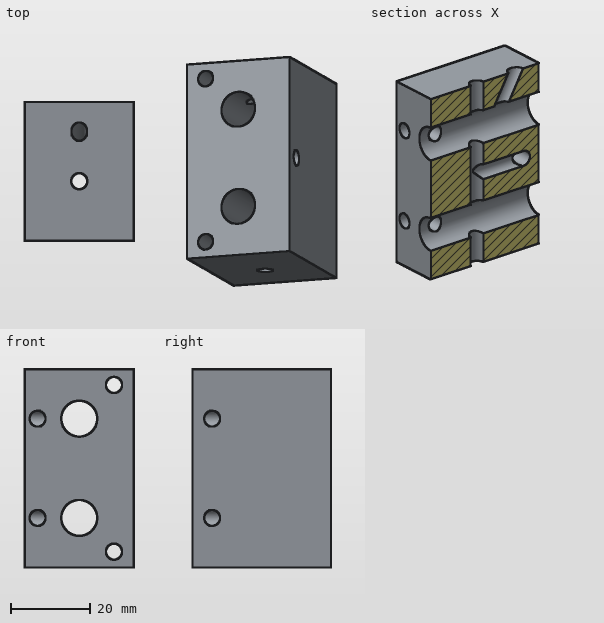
import cadquery as cq
import math

width = 27.5
depth = 35.0
height = 50.0

bore_diameter = 9.0
hole_diameter = 4.0

bore_spacing = 25.0
mount_x = 8.75
mount_spacing = 42.0
vertical_hole_y = -2.5
front_port_x = -10.5
cross_channel_y = -12.5
side_port_y = 12.5
top_port_y = 10.0

top_port_tilt = 30.0
top_port_length = 15.0
outside_run = 2.5


def drill(mouth, direction, diameter, length):
    """Cutter starting just outside its mouth and ending `length` inside it."""
    axis = cq.Vector(*direction).normalized()
    start = cq.Vector(*mouth) - axis * outside_run
    return cq.Workplane(cq.Solid.makeCylinder(diameter / 2, length + outside_run, start, axis))


def elbow(mouth, corner, end):
    """Cutter for a channel of two straight legs with a mitred right-angle corner."""
    path = cq.Workplane(cq.Wire.makePolygon([cq.Vector(*point) for point in (mouth, corner, end)]))
    inward = cq.Vector(*corner) - cq.Vector(*mouth)
    mouth_plane = cq.Plane(origin=mouth, normal=inward.toTuple())
    return cq.Workplane(mouth_plane).circle(hole_diameter / 2).sweep(path, transition="right")


result = cq.Workplane("XY").box(width, depth, height)

through = depth + outside_run
for side in (-1, 1):
    bore_z = side * bore_spacing / 2
    mount_z = side * mount_spacing / 2
    bore_mouth = (0, -depth / 2, bore_z)
    mount_mouth = (mount_x, -depth / 2, mount_z)
    result = result.cut(drill(bore_mouth, (0, 1, 0), bore_diameter, through))
    result = result.cut(drill(mount_mouth, (0, 1, 0), hole_diameter, through))

    port_mouth = (front_port_x, -depth / 2, bore_z)
    port_corner = (front_port_x, cross_channel_y, bore_z)
    port_end = (width / 2, cross_channel_y, bore_z)
    result = result.cut(elbow(port_mouth, port_corner, port_end))

vertical_mouth = (0, vertical_hole_y, height / 2)
result = result.cut(drill(vertical_mouth, (0, 0, -1), hole_diameter, height + outside_run))

side_mouth = (-width / 2, side_port_y, 0)
side_corner = (0, side_port_y, 0)
side_end = (0, vertical_hole_y, 0)
result = result.cut(elbow(side_mouth, side_corner, side_end))

tilt = math.radians(top_port_tilt)
top_mouth = (0, top_port_y, height / 2)
result = result.cut(drill(top_mouth, (0, -math.sin(tilt), -math.cos(tilt)), hole_diameter, top_port_length))